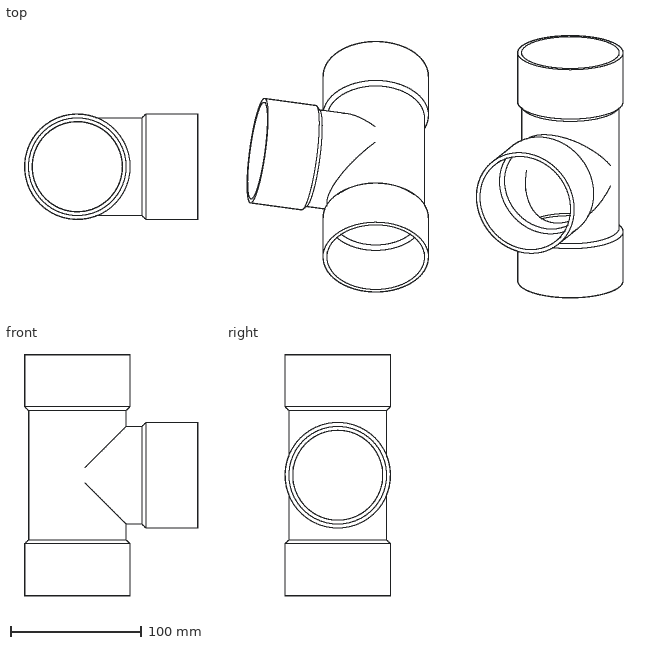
import cadquery as cq

height = 185.0
pipe_diameter = 75.0
bore_diameter = 69.0
socket_diameter = 81.0
socket_bore_diameter = pipe_diameter
socket_length = 40.0
taper_length = 3.0

arm_length = height / 2


def arm_solid(body_diameter, end_diameter):
    """Revolve one arm about Z: a straight body, a conical taper and a wider end."""
    body_radius = body_diameter / 2
    end_radius = end_diameter / 2
    end_start = arm_length - socket_length
    profile = [
        (0, 0),
        (body_radius, 0),
        (body_radius, end_start - taper_length),
        (end_radius, end_start),
        (end_radius, arm_length),
        (0, arm_length),
    ]
    return cq.Workplane("XZ").polyline(profile).close().revolve(360, (0, 0), (0, 1))


def tee_solid(body_diameter, end_diameter):
    """Join the upper, lower and +X arms at the origin."""
    upper = arm_solid(body_diameter, end_diameter)
    lower = upper.rotate((0, 0, 0), (1, 0, 0), 180)
    branch = upper.rotate((0, 0, 0), (0, 1, 0), 90)
    return upper.union(lower).union(branch)


outside = tee_solid(pipe_diameter, socket_diameter)
passages = tee_solid(bore_diameter, socket_bore_diameter)
result = outside.cut(passages)